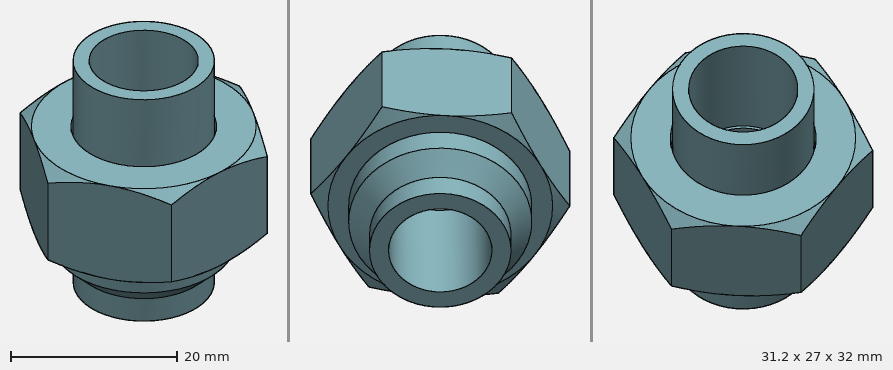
import cadquery as cq
import math

TOTAL_HEIGHT = 32.0
PIPE_DIAMETER = 17.0

NUT_ACROSS_FLATS = 27.0
NUT_BOTTOM = 9.0
NUT_TOP = 22.5
NUT_HOLE_DIAMETER = 17.5
NUT_CHAMFER_ANGLE = 30.0
NUT_WALL = 3.0

TAILPIECE_BORE = 13.12
FLANGE_THICKNESS = 3.0

COLLAR_DIAMETER = 22.0
LOWER_BORE = 12.4
LOWER_PIPE_LENGTH = 3.25

nut_height = NUT_TOP - NUT_BOTTOM
flange_top = NUT_TOP - NUT_WALL
joint_level = flange_top - FLANGE_THICKNESS
collar_bottom = LOWER_PIPE_LENGTH + (COLLAR_DIAMETER - PIPE_DIAMETER) / 2


def cylinder(diameter, bottom, top):
    """Vertical cylinder on the Z axis between two levels."""
    return cq.Workplane("XY").workplane(offset=bottom).circle(diameter / 2).extrude(top - bottom)


def revolved(profile):
    """Solid of revolution about Z from (radius, height) points."""
    return cq.Workplane("XZ").polyline(profile).close().revolve(360, (0, 0), (0, 1))


def make_nut():
    """Hexagon nut with both ends chamfered and a stepped bore."""
    corner_radius = NUT_ACROSS_FLATS / 2 / math.cos(math.pi / 6)
    flat_radius = NUT_ACROSS_FLATS / 2
    drop = (corner_radius - flat_radius) * math.tan(math.radians(NUT_CHAMFER_ANGLE))
    hexagon = (
        cq.Workplane("XY")
        .workplane(offset=NUT_BOTTOM)
        .polygon(6, 2 * corner_radius)
        .extrude(nut_height)
    )
    chamfer_envelope = revolved([
        (0, NUT_BOTTOM),
        (flat_radius, NUT_BOTTOM),
        (corner_radius, NUT_BOTTOM + drop),
        (corner_radius, NUT_TOP - drop),
        (flat_radius, NUT_TOP),
        (0, NUT_TOP),
    ])
    main_bore = cylinder(COLLAR_DIAMETER, NUT_BOTTOM, flange_top)
    pipe_hole = cylinder(NUT_HOLE_DIAMETER, flange_top, NUT_TOP)
    return hexagon.intersect(chamfer_envelope).cut(main_bore).cut(pipe_hole)


def make_tailpiece():
    """Upper pipe end with the flange that the nut shoulder pulls down."""
    flange = cylinder(COLLAR_DIAMETER, joint_level, flange_top)
    pipe = cylinder(PIPE_DIAMETER, joint_level, TOTAL_HEIGHT)
    bore = cylinder(TAILPIECE_BORE, joint_level, TOTAL_HEIGHT)
    return flange.union(pipe).cut(bore)


def make_lower_body():
    """Lower pipe end widening through a cone into the collar inside the nut."""
    return revolved([
        (LOWER_BORE / 2, 0),
        (PIPE_DIAMETER / 2, 0),
        (PIPE_DIAMETER / 2, LOWER_PIPE_LENGTH),
        (COLLAR_DIAMETER / 2, collar_bottom),
        (COLLAR_DIAMETER / 2, joint_level),
        (LOWER_BORE / 2, joint_level),
    ])


nut = make_nut()
tailpiece = make_tailpiece()
lower_body = make_lower_body()

result = cq.Compound.makeCompound([nut.val(), tailpiece.val(), lower_body.val()])